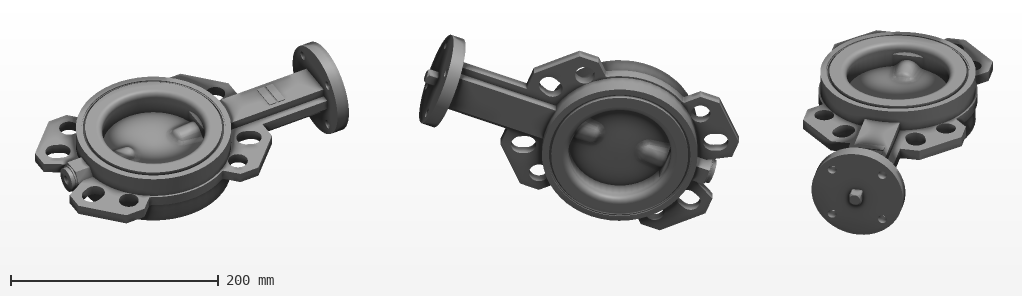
import cadquery as cq
import math


body_radius = 75.0
body_half_height = 26.5
plate_half_thickness = 5.2
plate_ring_radius = 76.8

ear_half_width = 78.0
ear_half_length = 106.2
ear_corner_x = 43.5
ear_side_top = 72.5
ear_side_bottom = 52.8
ear_root_x = 66.0
ear_root_y = ear_side_bottom - (ear_half_width - ear_root_x)
notch_outer_x = 25.8
notch_inner_x = 13.0
notch_slope_angle = 60
notch_depth = (notch_outer_x - notch_inner_x) * math.tan(math.radians(notch_slope_angle))

bolt_hole_radius = 9.5
round_hole_circle_radius = 84.7
round_hole_angle = 45
slot_inner_radius = 90.0
slot_outer_radius = 95.2
slot_angle = 22.5

liner_radius = 66.0
groove_radius = 68.2
groove_depth = 3.0
groove_step_radius = 69.5
groove_step_depth = 1.0
liner_half_height = 27.3
bore_radius = 49.5
bore_lip_radius = 5.8

seat_distance = 47.0
seat_half_height = 16.5
seat_root_radius = bore_radius + bore_lip_radius / 2

disc_half_thickness = 3.0
disc_crown = 4.5
hub_outer_end = 52.2
hub_inner_end = 21.2
hub_outer_radius = 12.3
hub_inner_radius = 10.0
hub_flank_angle = 43
hub_end_fillet = 6.5
hub_base_fillet = 7.0

neck_half_width = 17.2
neck_half_height = 14.0
neck_web_half_width = 24.5
flange_bottom = 177.5
flange_top = 190.0
flange_diameter = 90.0
flange_hole_circle_radius = 35.0
flange_hole_angle = 45
flange_hole_radius = 4.3

nameplate_width = 25.5
nameplate_length = 7.7
nameplate_thickness = 1.0
nameplate_centers = (134.0, 124.3)

stem_end = 200.8
stem_square = 11.0
stem_radius = 7.0
stem_chamfer = 1.8

housing_end = 90.0
washer_start = 91.5
washer_end = 91.8
washer_radius = 13.5
plug_shoulder_radius = 13.0
plug_radius = 12.0
plug_end = 95.8
plug_hole_radius = 4.5
plug_hole_depth = 6.0


def disk_along_y(radius, y_start, y_end):
    """Cylinder on the Y axis between two Y positions."""
    plane = cq.Workplane("XZ", origin=(0, y_end, 0))
    return plane.circle(radius).extrude(y_end - y_start)


def cylinder_along_z(radius, half_height):
    return cq.Workplane("XY").circle(radius).extrude(half_height, both=True)


def make_plate():
    upper_right = [
        (0, ear_half_length),
        (ear_corner_x, ear_half_length),
        (ear_half_width, ear_side_top),
        (ear_half_width, ear_side_bottom),
        (ear_root_x, ear_root_y),
    ]
    lower_right = [(x, -y) for x, y in reversed(upper_right[1:])]
    notch = [
        (notch_outer_x, -ear_half_length),
        (notch_inner_x, notch_depth - ear_half_length),
    ]
    right_side = upper_right + lower_right + notch
    left_side = [(-x, y) for x, y in reversed(right_side[1:])]
    plate = (
        cq.Workplane("XY")
        .polyline(right_side + left_side)
        .close()
        .extrude(plate_half_thickness, both=True)
    )
    plate = plate.union(cylinder_along_z(plate_ring_radius, plate_half_thickness))
    web = cq.Workplane("XY").box(
        2 * neck_web_half_width, flange_bottom, 2 * plate_half_thickness, centered=(True, False, True)
    )
    return plate.union(web)


def make_bolt_holes():
    slot_length = slot_outer_radius - slot_inner_radius + 2 * bolt_hole_radius
    slot_center = (slot_inner_radius + slot_outer_radius) / 2
    cutters = (
        cq.Workplane("XY")
        .polarArray(round_hole_circle_radius, round_hole_angle, 360, 4)
        .circle(bolt_hole_radius)
        .extrude(plate_half_thickness, both=True)
    )
    for side in (90, 270):
        for offset in (-slot_angle, slot_angle):
            slot = (
                cq.Workplane("XY")
                .transformed(rotate=(0, 0, side + offset))
                .center(slot_center, 0)
                .slot2D(slot_length, 2 * bolt_hole_radius)
                .extrude(plate_half_thickness, both=True)
            )
            cutters = cutters.union(slot)
    return cutters


def make_ring():
    """Half section of body and liner above Z = 0, revolved and mirrored."""
    groove_floor = body_half_height - groove_depth
    groove_step = body_half_height - groove_step_depth
    lip_start = liner_half_height - bore_lip_radius
    lip_middle = bore_lip_radius * (1 - math.sqrt(0.5))
    half = (
        cq.Workplane("XZ")
        .moveTo(bore_radius, 0)
        .lineTo(body_radius, 0)
        .lineTo(body_radius, body_half_height)
        .lineTo(groove_step_radius, body_half_height)
        .lineTo(groove_step_radius, groove_step)
        .lineTo(groove_radius, groove_step)
        .lineTo(groove_radius, groove_floor)
        .lineTo(liner_radius, groove_floor)
        .lineTo(liner_radius, liner_half_height)
        .lineTo(bore_radius + bore_lip_radius, liner_half_height)
        .threePointArc(
            (bore_radius + lip_middle, liner_half_height - lip_middle),
            (bore_radius, lip_start),
        )
        .close()
        .revolve(360, (0, 0, 0), (0, 1, 0))
    )
    return half.union(half.mirror("XY"))


def make_neck():
    neck = cq.Workplane("XY").box(
        2 * neck_half_width, flange_bottom, 2 * neck_half_height, centered=(True, False, True)
    )
    for y in nameplate_centers:
        nameplate = (
            cq.Workplane("XY", origin=(0, y, neck_half_height))
            .rect(nameplate_width, nameplate_length)
            .extrude(nameplate_thickness)
        )
        neck = neck.union(nameplate)
    return neck


def make_flange():
    flange = disk_along_y(flange_diameter / 2, flange_bottom, flange_top)
    holes = (
        cq.Workplane("XZ", origin=(0, flange_top, 0))
        .polarArray(flange_hole_circle_radius, flange_hole_angle, 360, 4)
        .circle(flange_hole_radius)
        .extrude(flange_top - flange_bottom)
    )
    return flange.cut(holes)


def make_stem():
    stem = disk_along_y(stem_radius, flange_bottom, stem_end)
    stem = stem.faces(">Y").chamfer(stem_chamfer)
    square = cq.Workplane("XY").box(
        stem_square, stem_end, stem_square, centered=(True, False, True)
    )
    return stem.intersect(square)


def make_housing():
    corner_diameter = 4 * neck_half_height / math.sqrt(3)
    housing = cq.Workplane("XZ").polygon(6, corner_diameter).extrude(housing_end)
    housing = housing.union(disk_along_y(plug_shoulder_radius, -washer_start, -housing_end))
    housing = housing.union(disk_along_y(washer_radius, -washer_end, -washer_start))
    return housing.union(disk_along_y(plug_radius, -plug_end, -washer_end))


def draw_hub_section(workplane, crown_radius):
    """Round crown with straight flanks tangent to it, standing on the disc's middle plane."""
    flank_angle = math.radians(hub_flank_angle)
    crown_x = crown_radius * math.sin(flank_angle)
    crown_z = crown_radius * math.cos(flank_angle)
    foot_x = crown_radius / math.sin(flank_angle)
    return (
        workplane.moveTo(-foot_x, 0)
        .lineTo(-crown_x, crown_z)
        .threePointArc((0, crown_radius), (crown_x, crown_z))
        .lineTo(foot_x, 0)
        .close()
    )


def make_hub():
    """Tapered hub running inward from the bore wall, rounded at its inner end."""
    start = draw_hub_section(cq.Workplane("XZ", origin=(0, hub_outer_end, 0)), hub_outer_radius)
    end_plane = start.workplane(offset=hub_outer_end - hub_inner_end)
    hub = draw_hub_section(end_plane, hub_inner_radius).loft(ruled=True)
    return hub.faces("<Y").edges("not <Z").fillet(hub_end_fillet)


def make_disc_half():
    """Upper half of the slightly coned disc, with a hub blended into each end."""
    trim = cylinder_along_z(bore_radius, liner_half_height)
    cone = (
        cq.Workplane("XZ")
        .polyline([(0, 0), (hub_outer_end, 0), (hub_outer_end, disc_half_thickness), (0, disc_crown)])
        .close()
        .revolve(360, (0, 0, 0), (0, 1, 0))
    )
    hub = make_hub()
    disc = cone.union(hub).union(hub.mirror("XZ"))
    reach = 2 * hub_outer_radius
    for side in (-1, 1):
        foot = cq.selectors.BoxSelector(
            (-reach, 0, disc_half_thickness / 2),
            (reach, side * bore_radius, disc_crown),
        )
        disc = disc.edges(foot).fillet(hub_base_fillet)
    return disc.intersect(trim)


def make_seats():
    """Flat-faced pads on the bore wall where the shaft enters, sloping back at top and bottom."""
    pad_limit = cylinder_along_z(seat_root_radius, liner_half_height)
    slope_run = seat_root_radius - seat_distance
    pad = (
        cq.Workplane("YZ")
        .moveTo(seat_distance, -seat_half_height)
        .lineTo(seat_distance, seat_half_height)
        .lineTo(seat_root_radius, seat_half_height + slope_run)
        .lineTo(seat_root_radius, -seat_half_height - slope_run)
        .close()
        .extrude(bore_radius, both=True)
        .intersect(pad_limit)
    )
    return pad.union(pad.mirror("XZ"))


ring_core = cylinder_along_z(liner_radius, liner_half_height)
outside = make_plate().cut(make_bolt_holes()).union(make_neck()).union(make_housing()).cut(ring_core)
disc_half = make_disc_half()

result = outside.union(make_ring())
result = result.union(disc_half).union(disc_half.mirror("XY"))
result = result.union(make_seats())
result = result.union(make_flange()).union(make_stem())
result = result.cut(disk_along_y(plug_hole_radius, -plug_end, plug_hole_depth - plug_end))